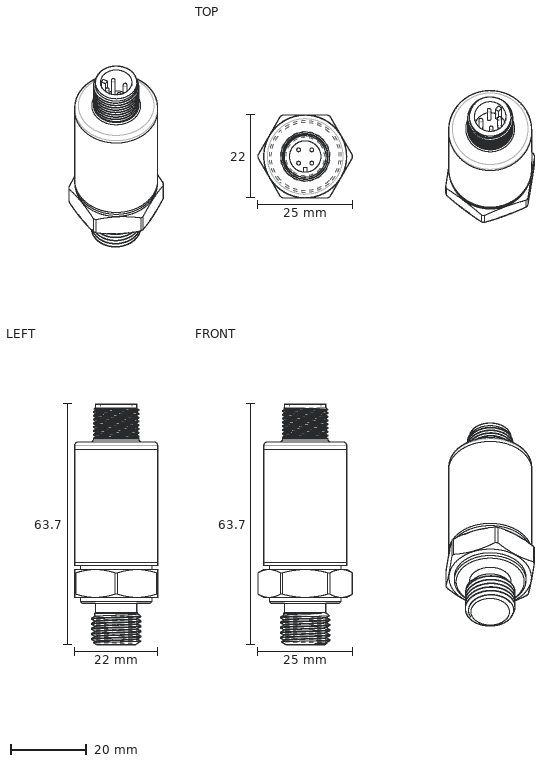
import cadquery as cq
import math


stud_pitch = 1.337
stud_major_radius = 6.58
stud_core_radius = 5.72
stud_crest_width = 0.2
stud_tip_radius = 5.1
stud_tip_chamfer_height = 1.0
stud_top_z = 8.6
stud_first_crest_z = -0.09
stud_turns = 6
neck_radius = 5.5

collar_bottom_z = 11.0
collar_radius = 9.5
collar_chamfer = 0.5
hex_bottom_z = 12.5
hex_height = 7.5
hex_sides = 6
hex_across_flats = 22.0
hex_corner_radius = 12.5
hex_face_radius = 10.9
hex_chamfer_angle = 30.0
groove_height = 1.0
lip_height = 0.8

body_radius = 11.0
sleeve_top_z = 51.7
cap_height = 2.0
cap_fillet = 1.0

plug_height = 10.0
plug_pitch = 1.0
plug_major_radius = 6.0
plug_core_radius = 5.5
plug_crest_width = 0.2
plug_turns = 9
plug_thread_height = 9.0
plug_first_crest_offset = 0.65
plug_foot_radius = 6.45
plug_foot_height = 0.45
plug_collar_height = 0.9
plug_collar_radius = 6.05
plug_shoulder_height = 1.15
socket_radius = 4.15
socket_depth = 9.0
contact_recess = 1.65
contact_spacing = 3.5
contact_radius = 0.5
key_width = 1.0
key_inner_y = 2.9

thread_flank_angle = 30.0
thread_overlap = 0.1

hex_top_z = hex_bottom_z + hex_height
lip_bottom_z = hex_top_z + groove_height
sleeve_bottom_z = lip_bottom_z + lip_height
cap_top_z = sleeve_top_z + cap_height
plug_top_z = cap_top_z + plug_height


def revolved(outline):
    """Turn a closed (radius, z) outline about the Z axis."""
    return cq.Workplane("XZ").polyline(outline).close().revolve(360, (0, 0, 0), (0, 1, 0))


def cylinder(radius, bottom_z, top_z):
    return cq.Workplane("XY").workplane(offset=bottom_z).circle(radius).extrude(top_z - bottom_z)


def thread_ridge(core_radius, major_radius, crest_width, pitch, turns, start_z):
    """Right-handed ridge whose crest starts on +X at start_z."""
    root_radius = core_radius - thread_overlap
    flank_rise = (major_radius - root_radius) * math.tan(math.radians(thread_flank_angle))
    half_crest = crest_width / 2
    half_root = half_crest + flank_rise
    helix = cq.Wire.makeHelix(pitch, pitch * turns, root_radius).translate(cq.Vector(0, 0, start_z))
    section = [
        (root_radius, start_z - half_root),
        (major_radius, start_z - half_crest),
        (major_radius, start_z + half_crest),
        (root_radius, start_z + half_root),
    ]
    return cq.Workplane("XZ").polyline(section).close().sweep(cq.Workplane(obj=helix), isFrenet=True)


def make_stud():
    core = cylinder(stud_core_radius, 0, stud_top_z)
    ridge = thread_ridge(
        stud_core_radius, stud_major_radius, stud_crest_width, stud_pitch, stud_turns, stud_first_crest_z
    )
    top_chamfer = stud_major_radius - neck_radius
    envelope = revolved([
        (0, 0),
        (stud_tip_radius, 0),
        (stud_major_radius, stud_tip_chamfer_height),
        (stud_major_radius, stud_top_z - top_chamfer),
        (neck_radius, stud_top_z),
        (0, stud_top_z),
    ])
    return core.union(ridge).intersect(envelope)


def make_hex():
    """Hexagon with corners on the X axis, rounded and chamfered at both ends."""
    corner_diameter = hex_across_flats / math.cos(math.pi / hex_sides)
    prism = (
        cq.Workplane("XY").workplane(offset=hex_bottom_z)
        .polygon(hex_sides, corner_diameter).extrude(hex_height)
    )
    drop = (hex_corner_radius - hex_face_radius) * math.tan(math.radians(hex_chamfer_angle))
    envelope = revolved([
        (0, hex_bottom_z),
        (hex_face_radius, hex_bottom_z),
        (hex_corner_radius, hex_bottom_z + drop),
        (hex_corner_radius, hex_top_z - drop),
        (hex_face_radius, hex_top_z),
        (0, hex_top_z),
    ])
    return prism.intersect(envelope)


def make_fitting():
    neck = cylinder(neck_radius, stud_top_z, collar_bottom_z)
    collar = cylinder(collar_radius, collar_bottom_z, lip_bottom_z).faces("<Z").chamfer(collar_chamfer)
    lip = cylinder(body_radius, lip_bottom_z, sleeve_bottom_z)
    return collar.union(make_hex()).union(lip).union(neck).union(make_stud())


def make_sleeve():
    return cylinder(body_radius, sleeve_bottom_z, sleeve_top_z)


def make_plug():
    """Threaded barrel on a flared foot."""
    barrel = revolved([
        (0, cap_top_z),
        (plug_foot_radius, cap_top_z),
        (plug_collar_radius, cap_top_z + plug_foot_height),
        (plug_collar_radius, cap_top_z + plug_collar_height),
        (plug_core_radius, cap_top_z + plug_shoulder_height),
        (plug_core_radius, plug_top_z),
        (0, plug_top_z),
    ])
    ridge = thread_ridge(
        plug_core_radius, plug_major_radius, plug_crest_width, plug_pitch, plug_turns,
        cap_top_z + plug_first_crest_offset,
    )
    thread_end_z = cap_top_z + plug_thread_height
    end_chamfer = plug_collar_radius - plug_core_radius
    envelope = revolved([
        (0, cap_top_z),
        (plug_collar_radius, cap_top_z),
        (plug_collar_radius, thread_end_z - end_chamfer),
        (plug_core_radius, thread_end_z),
        (0, thread_end_z),
    ])
    return barrel.union(ridge.intersect(envelope))


def make_contacts(floor_z, tip_z):
    """Four round-nosed contact pins."""
    pins = (
        cq.Workplane("XY").workplane(offset=floor_z)
        .rect(contact_spacing, contact_spacing, forConstruction=True).vertices()
        .circle(contact_radius).extrude(tip_z - contact_radius - floor_z)
    )
    noses = (
        cq.Workplane("XY").workplane(offset=tip_z - contact_radius)
        .rect(contact_spacing, contact_spacing, forConstruction=True).vertices()
        .sphere(contact_radius)
    )
    return pins.union(noses)


def make_cap():
    disc = cylinder(body_radius, sleeve_top_z, cap_top_z).faces(">Z").edges().fillet(cap_fillet)
    floor_z = plug_top_z - socket_depth
    tip_z = plug_top_z - contact_recess
    socket = cylinder(socket_radius, floor_z, plug_top_z)
    key_depth = plug_core_radius - key_inner_y
    key = (
        cq.Workplane("XY").workplane(offset=floor_z)
        .center(0, -key_inner_y - key_depth / 2).rect(key_width, key_depth).extrude(tip_z - floor_z)
    )
    cavity = socket.cut(key)
    return disc.union(make_plug()).cut(cavity).union(make_contacts(floor_z, tip_z))


fitting = make_fitting()
sleeve = make_sleeve()
cap = make_cap()

result = cq.Compound.makeCompound([fitting.solids().val(), sleeve.solids().val(), cap.solids().val()])